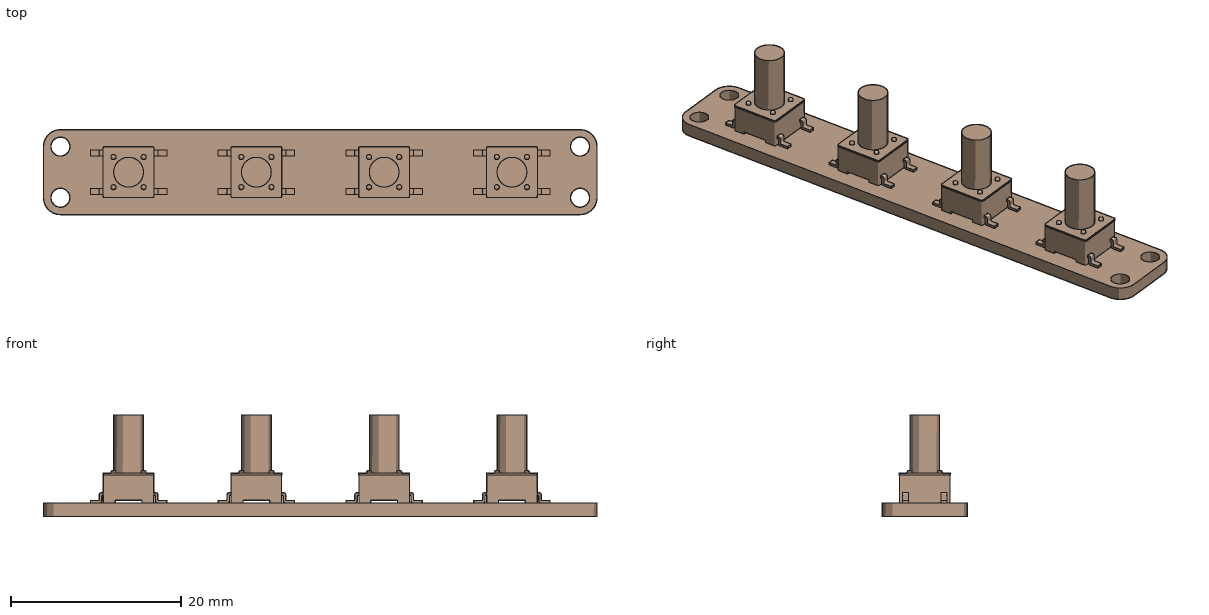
import cadquery as cq

BOARD_LENGTH = 65.0
BOARD_WIDTH = 10.0
BOARD_THICKNESS = 1.6
BOARD_CORNER_RADIUS = 2.0
MOUNT_HOLE_DIAMETER = 2.2
MOUNT_HOLE_INSET = 2.0

SWITCH_COUNT = 4
SWITCH_PITCH = 15.0
OVERALL_HEIGHT = 11.95

COVER_SIZE = 6.0
COVER_THICKNESS = 0.2
COVER_OVERHANG = 0.02
HOUSING_SIZE = COVER_SIZE - 2 * COVER_OVERHANG
HOUSING_HEIGHT = 3.5
HOUSING_CORNER_RADIUS = 0.2
RELIEF_WIDTH = 3.1
RELIEF_HEIGHT = 0.3

PLUNGER_DIAMETER = 3.5
PLUNGER_HEIGHT = OVERALL_HEIGHT - BOARD_THICKNESS - HOUSING_HEIGHT
RIVET_DIAMETER = 0.6
RIVET_HEIGHT = 0.3
RIVET_ROUNDING = 0.2
RIVET_OFFSET = 1.77

LEAD_SPAN = 9.0
LEAD_WIDTH = 0.7
LEAD_THICKNESS = 0.3
LEAD_TOP = 1.2
LEAD_RISER_OUTSIDE = 3.45
LEAD_OFFSET = 2.25
LEAD_INNER_BEND_RADIUS = 0.1
LEAD_OUTER_BEND_RADIUS = 0.25


def make_board():
    """Rounded plate with a mounting hole near each corner."""
    plate = (
        cq.Workplane("XY")
        .rect(BOARD_LENGTH, BOARD_WIDTH)
        .extrude(BOARD_THICKNESS)
        .edges("|Z")
        .fillet(BOARD_CORNER_RADIUS)
    )
    return (
        plate.faces(">Z")
        .workplane(origin=(0, 0, BOARD_THICKNESS))
        .rect(
            BOARD_LENGTH - 2 * MOUNT_HOLE_INSET,
            BOARD_WIDTH - 2 * MOUNT_HOLE_INSET,
            forConstruction=True,
        )
        .vertices()
        .hole(MOUNT_HOLE_DIAMETER)
    )


def make_rounded_block(size, height, base_z):
    """Square block with rounded upright corners."""
    return (
        cq.Workplane("XY", origin=(0, 0, base_z))
        .rect(size, size)
        .extrude(height)
        .edges("|Z")
        .fillet(HOUSING_CORNER_RADIUS)
    )


def make_housing():
    """Square block under a thin overhanging cover, with a shallow relief along Y through its underside."""
    block_height = HOUSING_HEIGHT - COVER_THICKNESS
    block = make_rounded_block(HOUSING_SIZE, block_height, 0)
    cover = make_rounded_block(COVER_SIZE, COVER_THICKNESS, block_height)
    relief = cq.Workplane("XY").rect(RELIEF_WIDTH, HOUSING_SIZE).extrude(RELIEF_HEIGHT)
    return block.union(cover).cut(relief)


def make_plunger():
    """Round button standing on the housing."""
    return (
        cq.Workplane("XY", origin=(0, 0, HOUSING_HEIGHT))
        .circle(PLUNGER_DIAMETER / 2)
        .extrude(PLUNGER_HEIGHT)
    )


def make_rivets():
    """Four round-topped rivet heads on top of the housing."""
    return (
        cq.Workplane("XY", origin=(0, 0, HOUSING_HEIGHT))
        .rect(2 * RIVET_OFFSET, 2 * RIVET_OFFSET, forConstruction=True)
        .vertices()
        .circle(RIVET_DIAMETER / 2)
        .extrude(RIVET_HEIGHT)
        .faces(">Z")
        .edges()
        .fillet(RIVET_ROUNDING)
    )


def make_lead(side, y_center):
    """Z-bent strip that leaves the housing wall, drops to the board and runs outward; side is -1 or 1."""
    wall = side * HOUSING_SIZE / 2
    riser_inside = side * (LEAD_RISER_OUTSIDE - LEAD_THICKNESS)
    riser_outside = side * LEAD_RISER_OUTSIDE
    tip = side * LEAD_SPAN / 2
    strip = (
        cq.Workplane("XZ", origin=(0, y_center, 0))
        .moveTo(wall, LEAD_TOP)
        .lineTo(riser_outside, LEAD_TOP)
        .lineTo(riser_outside, LEAD_THICKNESS)
        .lineTo(tip, LEAD_THICKNESS)
        .lineTo(tip, 0)
        .lineTo(riser_inside, 0)
        .lineTo(riser_inside, LEAD_TOP - LEAD_THICKNESS)
        .lineTo(wall, LEAD_TOP - LEAD_THICKNESS)
        .close()
        .extrude(LEAD_WIDTH / 2, both=True)
    )
    outer_bends = [(riser_outside, LEAD_TOP), (riser_inside, 0)]
    inner_bends = [(riser_outside, LEAD_THICKNESS), (riser_inside, LEAD_TOP - LEAD_THICKNESS)]
    for bends, radius in ((outer_bends, LEAD_OUTER_BEND_RADIUS), (inner_bends, LEAD_INNER_BEND_RADIUS)):
        for x, z in bends:
            corner = cq.selectors.NearestToPointSelector((x, y_center, z))
            strip = strip.edges("|Y").edges(corner).fillet(radius)
    return strip


def make_switch(x_center):
    """One complete switch as a single solid seated on the board."""
    switch = make_housing().union(make_plunger()).union(make_rivets())
    for side in (-1, 1):
        for y_center in (-LEAD_OFFSET, LEAD_OFFSET):
            switch = switch.union(make_lead(side, y_center))
    return switch.translate((x_center, 0, BOARD_THICKNESS))


board = make_board()

first_switch_x = -SWITCH_PITCH * (SWITCH_COUNT - 1) / 2
switches = [make_switch(first_switch_x + i * SWITCH_PITCH) for i in range(SWITCH_COUNT)]

result = cq.Compound.makeCompound([board.val(), *[switch.val() for switch in switches]])